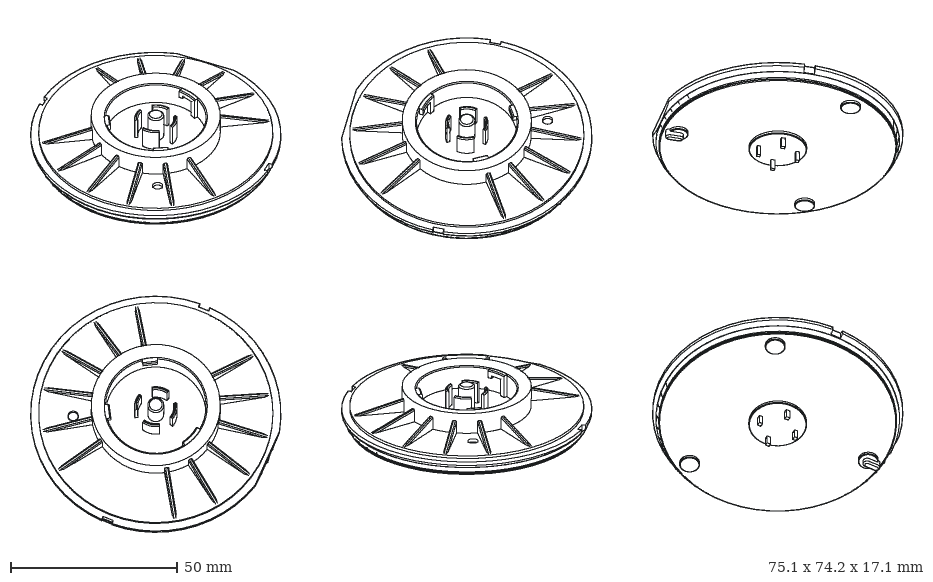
import cadquery as cq
import math

rim_radius = 37.6
rim_bottom = 3.98
rim_top = 5.15
bevel_radius = 37.3
bevel_bottom = 3.5
neck_radius = 36.4
plateau_radius = 35.2
plateau_top = 6.0
lip_radius = 35.75
lip_bottom = 0.45
lip_top = 1.0
base_radius = 35.5
rim_flat_y = 36.4
notch_width = 3.3
notch_floor_x = 36.5

seal_section_radius = 1.02
seal_outer_radius = 36.63
seal_center_radius = seal_outer_radius - seal_section_radius
seal_center_z = 1.95
seal_groove_top = 2.7

ring_outer_radius = 19.4
ring_top = 12.58
mouth_outer_radius = 18.9
mouth_inner_radius = 15.5
mouth_inner_z = 11.9
bore_radius = 15.1
bore_edge_z = 11.6
bore_floor = 4.65

post_radius = 2.4
post_top = 13.0
post_chamfer = 0.5
wall_inner_radius = 5.45
wall_outer_radius = 6.4
wall_top = 11.55
wall_chamfer = 0.38
wall_count = 4
wall_span = 48.5
first_wall_angle = 9.5

tab_inner_radius = 14.0
tab_outer_radius = 15.6
tab_bottom = 10.1
tab_top = 11.85
tab_chamfer = 0.35
short_tab_span = 17.5
short_tab_angles = (210.0, 300.0)
hook_start = 58.0
hook_end = 84.0
hook_leg_span = 6.8
hook_lip_span = 4.8
hook_lip_bottom = 9.3

ribs_per_fan = 6
rib_pitch = 22.5
fan_angles = (89.0, 269.0)
rib_width = 1.3
rib_chamfer = 0.35
rib_inner_top = 10.1
rib_end_radius = 34.3

hole_x = 10.7
hole_y = -22.4
hole_diameter = 3.05
hole_depth = 1.0

foot_height = 0.9
foot_chamfer = 0.2
foot_diameter = 6.0
foot_count = 3
foot_circle_radius = 31.0
hub_radius = 8.7
pin_bottom = -4.05
pin_circle_radius = 6.0
pin_radial_size = 1.05
pin_tangent_size = 1.2
pin_count = 4
key_width = 2.4
key_length = 5.4
key_center_y = 32.1
key_bottom = -2.65
key_chamfer = 0.5

embed = 0.5


def polar(radius, angle):
    """Point in the XY plane at a radius and an angle in degrees."""
    return (radius * math.cos(math.radians(angle)), radius * math.sin(math.radians(angle)))


def revolve_profile(profile):
    """Turn a closed radius-height profile about the Z axis."""
    return profile.close().revolve(360, (0, 0, 0), (0, 1, 0))


def ring_sector(inner_radius, outer_radius, start, end, bottom, top):
    """Upright block bounded by two arcs and two radial ends."""
    middle = (start + end) / 2
    return (
        cq.Workplane("XY", origin=(0, 0, bottom))
        .moveTo(*polar(inner_radius, start))
        .lineTo(*polar(outer_radius, start))
        .threePointArc(polar(outer_radius, middle), polar(outer_radius, end))
        .lineTo(*polar(inner_radius, end))
        .threePointArc(polar(inner_radius, middle), polar(inner_radius, start))
        .close()
        .extrude(top - bottom)
    )


def make_disc():
    """Turned disc and ring, with the rim flat and the two rim notches cut."""
    disc = revolve_profile(
        cq.Workplane("XZ")
        .moveTo(0, 0)
        .lineTo(base_radius, 0)
        .lineTo(base_radius, lip_bottom)
        .lineTo(lip_radius, lip_bottom)
        .lineTo(lip_radius, lip_top)
        .lineTo(seal_center_radius, lip_top)
        .lineTo(seal_center_radius, seal_groove_top)
        .lineTo(neck_radius, seal_groove_top)
        .lineTo(bevel_radius, bevel_bottom)
        .lineTo(rim_radius, rim_bottom)
        .lineTo(rim_radius, rim_top)
        .lineTo(plateau_radius, rim_top)
        .lineTo(plateau_radius, plateau_top)
        .lineTo(ring_outer_radius, plateau_top)
        .lineTo(ring_outer_radius, ring_top)
        .lineTo(mouth_outer_radius, ring_top)
        .lineTo(mouth_inner_radius, mouth_inner_z)
        .lineTo(bore_radius, bore_edge_z)
        .lineTo(bore_radius, bore_floor)
        .lineTo(0, bore_floor)
    )
    flat_cut = cq.Workplane("XY").box(2 * rim_radius, rim_radius, plateau_top, centered=(True, False, False))
    disc = disc.cut(flat_cut.translate((0, rim_flat_y, 0)))
    notch = cq.Workplane("XY").box(rim_radius, notch_width, plateau_top, centered=(False, True, False))
    notch = notch.translate((notch_floor_x, 0, seal_groove_top))
    return disc.cut(notch).cut(notch.mirror("YZ"))


def make_seal():
    """Round-section ring seated in the edge of the disc."""
    section = cq.Workplane("XZ").center(-seal_center_radius, seal_center_z).circle(seal_section_radius)
    return section.revolve(360, (seal_center_radius, 0, 0), (seal_center_radius, 1, 0))


def make_post():
    """Chamfered post at the centre of the bore."""
    height = post_top - bore_floor + embed
    post = cq.Workplane("XY", origin=(0, 0, bore_floor - embed)).circle(post_radius).extrude(height)
    return post.faces(">Z").chamfer(post_chamfer)


def make_wall(angle):
    """Curved wall segment with its long top edges bevelled, centred on an angle."""
    base = bore_floor - embed
    shoulder = wall_top - wall_chamfer
    profile = revolve_profile(
        cq.Workplane("XZ")
        .moveTo(wall_inner_radius, base)
        .lineTo(wall_outer_radius, base)
        .lineTo(wall_outer_radius, shoulder)
        .lineTo(wall_outer_radius - wall_chamfer, wall_top)
        .lineTo(wall_inner_radius + wall_chamfer, wall_top)
        .lineTo(wall_inner_radius, shoulder)
    )
    start = angle - wall_span / 2
    sector = ring_sector(post_radius, bore_radius, start, start + wall_span, base, wall_top)
    return profile.intersect(sector)


def bevel_tab(tab, angle):
    """Chamfer the top inner edge of a tab centred on an angle."""
    inner_edge_point = (*polar(tab_inner_radius, angle), tab_top)
    return tab.faces(">Z").edges(cq.selectors.NearestToPointSelector(inner_edge_point)).chamfer(tab_chamfer)


def make_short_tab(angle):
    """Plain bayonet tab with a straight inner face."""
    half_span = short_tab_span / 2
    points = [
        polar(tab_inner_radius, angle - half_span),
        polar(tab_outer_radius, angle - half_span),
        polar(tab_outer_radius, angle + half_span),
        polar(tab_inner_radius, angle + half_span),
    ]
    tab = cq.Workplane("XY", origin=(0, 0, tab_bottom)).polyline(points).close()
    return bevel_tab(tab.extrude(tab_top - tab_bottom), angle)


def make_hook():
    """Wide bayonet tab with a leg down to the floor and a short lip at the other end."""
    plate = ring_sector(tab_inner_radius, tab_outer_radius, hook_start, hook_end, tab_bottom, tab_top)
    leg_end = hook_start + hook_leg_span
    leg = ring_sector(tab_inner_radius, tab_outer_radius, hook_start, leg_end, bore_floor - embed, tab_top)
    lip_start = hook_end - hook_lip_span
    lip = ring_sector(tab_inner_radius, tab_outer_radius, lip_start, hook_end, hook_lip_bottom, tab_top)
    return bevel_tab(plate.union(leg).union(lip).clean(), (hook_start + hook_end) / 2)


def make_rib(angle):
    """Sloping rib from the ring to the plateau edge, with its top edges bevelled."""
    inner = ring_outer_radius - embed
    slope = (rib_inner_top - plateau_top) / (rib_end_radius - ring_outer_radius)
    rib = (
        cq.Workplane("XZ")
        .moveTo(inner, plateau_top - embed)
        .lineTo(rib_end_radius, plateau_top - embed)
        .lineTo(rib_end_radius, plateau_top)
        .lineTo(inner, rib_inner_top + embed * slope)
        .close()
        .extrude(rib_width / 2, both=True)
    )
    sloped_face = rib.faces(">Z")
    rib = sloped_face.edges("not |Y").chamfer(rib_chamfer)
    return rib.rotate((0, 0, 0), (0, 0, 1), angle)


def make_foot(radius, x, y):
    """Low round pad under the disc with a chamfered lower edge."""
    pad = cq.Workplane("XY", origin=(x, y, -foot_height)).circle(radius).extrude(foot_height + embed)
    return pad.faces("<Z").chamfer(foot_chamfer)


def make_pin(angle):
    """Rectangular pin standing down from the hub."""
    pin = cq.Workplane("XY", origin=(pin_circle_radius, 0, pin_bottom))
    pin = pin.rect(pin_radial_size, pin_tangent_size).extrude(embed - pin_bottom)
    return pin.rotate((0, 0, 0), (0, 0, 1), angle)


def make_key():
    """Round-ended key under the disc beside the rim flat."""
    key = cq.Workplane("XY", origin=(0, key_center_y, key_bottom)).slot2D(key_length, key_width, 90)
    return key.extrude(embed - key_bottom).faces("<Z").chamfer(key_chamfer)


features = [make_seal(), make_post(), make_hook(), make_key(), make_foot(hub_radius, 0, 0)]
for index in range(wall_count):
    features.append(make_wall(first_wall_angle + index * 360 / wall_count))
for tab_angle in short_tab_angles:
    features.append(make_short_tab(tab_angle))
for fan_angle in fan_angles:
    for index in range(ribs_per_fan):
        features.append(make_rib(fan_angle + (index - (ribs_per_fan - 1) / 2) * rib_pitch))
for index in range(foot_count):
    foot_x, foot_y = polar(foot_circle_radius, 90 + index * 360 / foot_count)
    features.append(make_foot(foot_diameter / 2, foot_x, foot_y))
for index in range(pin_count):
    features.append(make_pin(index * 360 / pin_count))

result = make_disc()
for feature in features:
    result = result.union(feature)
hole = cq.Workplane("XY", origin=(hole_x, hole_y, plateau_top)).circle(hole_diameter / 2)
result = result.cut(hole.extrude(-hole_depth))